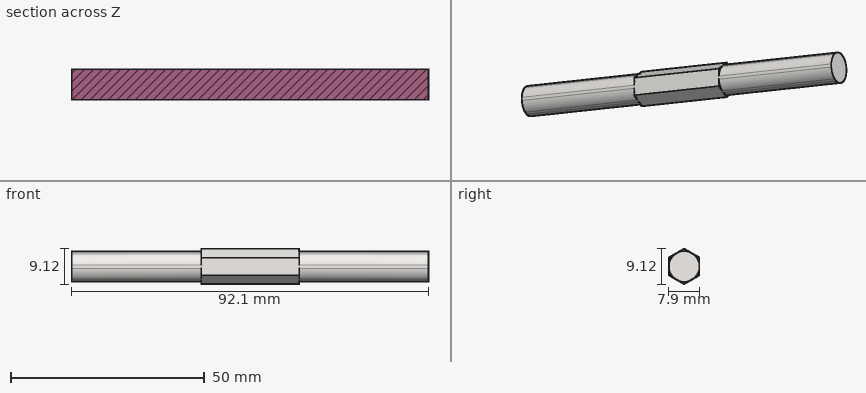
import cadquery as cq
import math

total_length = 92.1
hex_length = 25.2
across_flats = 7.9
rod_flat_width = 0.8

across_corners = across_flats / math.cos(math.radians(30))
rod_diameter = math.hypot(across_flats, rod_flat_width)


def hex_bar(length):
    """Hexagonal bar along X, centred on the origin, with corners at top and bottom."""
    return (
        cq.Workplane("YZ")
        .transformed(rotate=(0, 0, 90))
        .polygon(6, across_corners)
        .extrude(length / 2, both=True)
    )


def round_bar(length):
    """Round bar along X, centred on the origin."""
    return cq.Workplane("YZ").circle(rod_diameter / 2).extrude(length / 2, both=True)


rod = round_bar(total_length).intersect(hex_bar(total_length))

result = rod.union(hex_bar(hex_length)).clean()